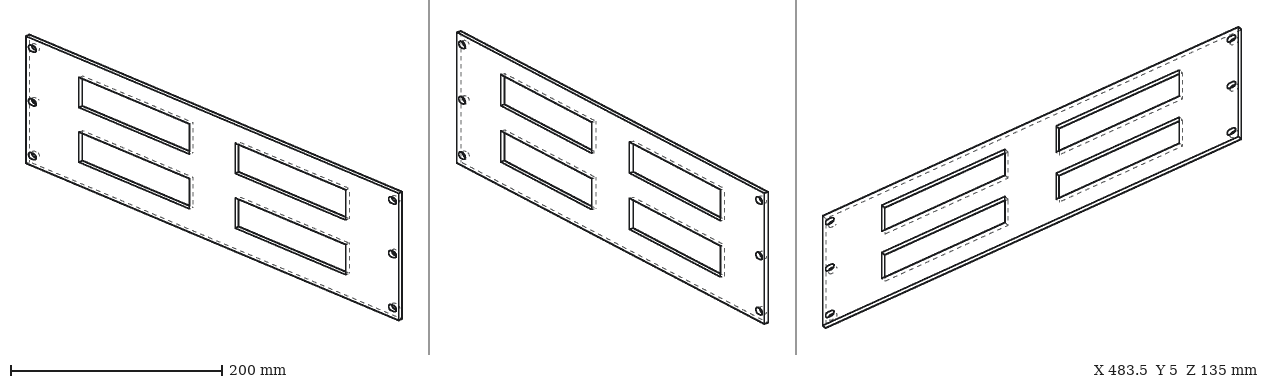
import cadquery as cq

PANEL_WIDTH = 483.5
PANEL_THICKNESS = 5.0
PANEL_HEIGHT = 135.0

WINDOW_WIDTH = 143.0
WINDOW_HEIGHT = 32.0
WINDOW_PITCH_X = 202.5
WINDOW_PITCH_Z = 58.0
WINDOW_CENTER_Z = 2.5

SLOT_LENGTH = 9.5
SLOT_HEIGHT = 6.5
SLOT_PITCH_X = 467.0
SLOT_PITCH_Z = 57.0
SLOT_ROWS = 3


def make_panel():
    return cq.Workplane("XZ").rect(PANEL_WIDTH, PANEL_HEIGHT).extrude(PANEL_THICKNESS / 2, both=True)


def cut_windows(panel):
    return (
        panel.copyWorkplane(cq.Workplane("XZ"))
        .center(0, WINDOW_CENTER_Z)
        .rarray(WINDOW_PITCH_X, WINDOW_PITCH_Z, 2, 2)
        .rect(WINDOW_WIDTH, WINDOW_HEIGHT)
        .cutBlind(PANEL_THICKNESS, both=True)
    )


def cut_mounting_slots(panel):
    return (
        panel.copyWorkplane(cq.Workplane("XZ"))
        .rarray(SLOT_PITCH_X, SLOT_PITCH_Z, 2, SLOT_ROWS)
        .slot2D(SLOT_LENGTH, SLOT_HEIGHT)
        .cutBlind(PANEL_THICKNESS, both=True)
    )


result = cut_mounting_slots(cut_windows(make_panel()))